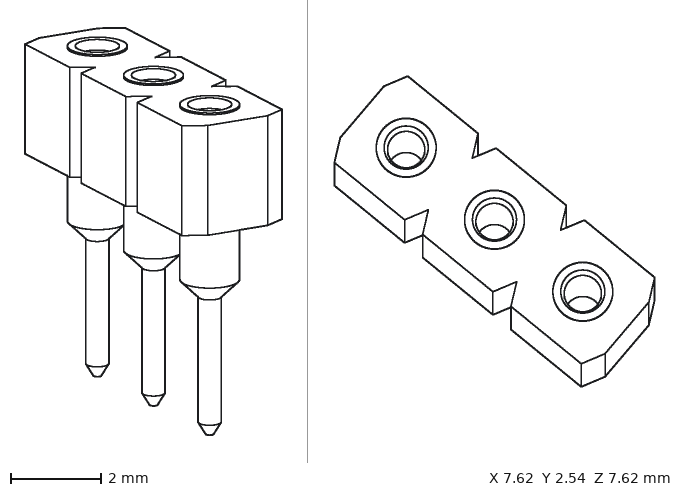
import cadquery as cq

pin_count = 3
housing_length = 7.62
pitch = housing_length / pin_count
housing_width = 2.54
housing_height = 2.54
notch_length = 0.26
notch_depth = 0.51

pin_length = 7.62
rim_height = 0.04
barrel_radius = 0.66
stem_radius = 0.26
tip_radius = 0.09
tip_height = 0.28
shoulder_bottom = 3.18
shoulder_top = 3.57

mouth_radius = 0.49
bore_radius = 0.41
lead_in_depth = 0.22
bore_depth = 2.54

housing_top = pin_length - rim_height
housing_bottom = housing_top - housing_height
pin_positions = [(i - (pin_count - 1) / 2) * pitch for i in range(pin_count)]


def long_side(side):
    """Points along one long side, left to right; side is -1 or +1 in Y."""
    outer_y = side * housing_width / 2
    inner_y = side * (housing_width / 2 - notch_depth)
    points = [(-housing_length / 2, inner_y)]
    for x in pin_positions:
        points.append((x - pitch / 2 + notch_length, outer_y))
        points.append((x + pitch / 2 - notch_length, outer_y))
        points.append((x + pitch / 2, inner_y))
    return points


def make_housing():
    """Notched bar with one through hole for each pin barrel."""
    outline = long_side(-1) + long_side(1)[::-1]
    base = cq.Workplane("XY").workplane(offset=housing_bottom)
    bar = base.polyline(outline).close().extrude(housing_height)
    hole_centers = [(x, 0) for x in pin_positions]
    holes = base.pushPoints(hole_centers).circle(barrel_radius).extrude(housing_height)
    return bar.cut(holes)


def make_pin(x):
    """Turned pin with a blind socket, revolved about a vertical axis at x."""
    profile = [
        (0, 0),
        (tip_radius, 0),
        (stem_radius, tip_height),
        (stem_radius, shoulder_bottom),
        (barrel_radius, shoulder_top),
        (barrel_radius, pin_length),
        (mouth_radius, pin_length),
        (bore_radius, pin_length - lead_in_depth),
        (bore_radius, pin_length - bore_depth),
        (0, pin_length - bore_depth),
    ]
    pin = cq.Workplane("XZ").polyline(profile).close().revolve(360, (0, 0), (0, 1))
    return pin.translate((x, 0, 0))


housing = make_housing()
pins = [make_pin(x) for x in pin_positions]

result = cq.Compound.makeCompound([housing.val(), *[pin.val() for pin in pins]])